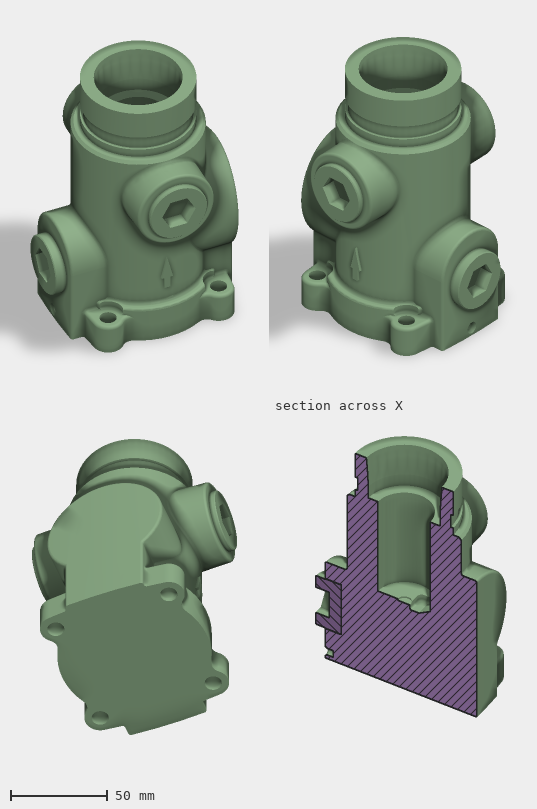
import cadquery as cq
import math

BODY_RADIUS = 35.0
BODY_TOP = 114.5
BODY_CHAMFER = 1.5
TOTAL_HEIGHT = 142.96
TOTAL_WIDTH = 101.75
TOTAL_DEPTH = 98.58

NECK_RADIUS = 30.15
GROOVE_RADIUS = 28.6
GROOVE_WIDTH = 7.95
LIP_HEIGHT = 15.88

BORE_RADIUS = 23.0
BORE_INNER_RADIUS = 21.8
BORE_TAPER_DEPTH = 18.6
SEAT_Z = 117.0
SEAT_HOLE_RADIUS = 15.9
CHAMBER_FLOOR_Z = 58.0
DIMPLE_RADIUS = 3.9
DIMPLE_DEPTH = 1.0
LEDGE_Y = 10.5
LEDGE_HEIGHT = 1.0
SLOT_WIDTH = 19.4
SLOT_FRONT_Y = 3.5
SLOT_SLOPE_Y = 9.0
SLOT_DEPTH = 4.0
SLOT_CORNER_RADIUS = 2.5
SLOT_FLOOR_ROUND = 1.2

SIDE_AXIS_Z = 90.0
SIDE_END_X = 47.8
SIDE_END_RADIUS = 21.6
SIDE_ROOT_RADIUS = 22.2
SIDE_ROOT_X = 25.0

PLUG_RADIUS = 16.2
PLUG_CHAMFER = 0.5
HEX_FLATS = 16.5
HEX_DEPTH = 8.0
SIDE_PLUG_END_X = TOTAL_WIDTH / 2

PAD_HALF_WIDTH = 21.6
PAD_BOW_RADIUS = 310.0
FRONT_Y = -48.5
FRONT_ARCH_Z = 42.2
BACK_Y = 44.5
BACK_DISC_RADIUS = 32.0
BACK_DISC_Z = 58.0
EDGE_ROUND = 1.4
CORNER_BLEND = 2.0
ROOT_FILLET = 1.3

FRONT_PLUG_Z = 36.0
FRONT_PLUG_END_Y = BACK_Y - TOTAL_DEPTH
FRONT_PLUG_THREAD_DEPTH = 10.0

WEEP_Z = 4.7
WEEP_RADIUS = 2.0
WEEP_MOUTH_RADIUS = 3.3
WEEP_DEPTH = 5.0

RING_RADIUS = 39.95
RING_TOP = 20.8
RING_ROUND = 1.5
LUG_OFFSET = 31.4
LUG_RADIUS = 8.2
LUG_HEIGHT = 16.6
LUG_ROUND = 1.8
LUG_HOLE_RADIUS = 4.45
LUG_OUTER_EDGE_ANGLE = 84.0
LUG_INNER_EDGE_ANGLE = -45.0
LUG_INNER_EDGE_LENGTH = 10.0
LUG_BLEND = 5.5
LUG_PAD_FILLET = 1.5
SPOTFACE_ROUND = 1.2

ARROW_FACE_X = 36.6
ARROW_EMBED = 1.0
ARROW_TIP_Z = 49.6
ARROW_HEAD_Z = 36.7
ARROW_TAIL_Z = 30.2
ARROW_HEAD_HALF_WIDTH = 3.2
ARROW_STEM_HALF_WIDTH = 1.6

TOLERANCE = 0.01


def cylinder(radius, z_low, z_high):
    return cq.Workplane("XY").workplane(offset=z_low).circle(radius).extrude(z_high - z_low)


def mirrored_pair(shape):
    """The shape together with its mirror image across the YZ plane."""
    return [shape, shape.mirror("YZ")]


def side_boss():
    """Slightly tapered round boss along +X with a rounded end."""
    profile = [
        (0, 0),
        (0, SIDE_ROOT_RADIUS),
        (SIDE_ROOT_X, SIDE_ROOT_RADIUS),
        (SIDE_END_X, SIDE_END_RADIUS),
        (SIDE_END_X, 0),
    ]
    boss = cq.Workplane("XZ").polyline(profile).close().revolve(360, (0, 0), (1, 0))
    return boss.faces(">X").edges().fillet(EDGE_ROUND).translate((0, 0, SIDE_AXIS_Z))


def side_plug_head():
    """Plain round plug head standing out of the +X boss."""
    start_x = SIDE_END_X - EDGE_ROUND
    head = cq.Workplane("YZ", origin=(start_x, 0, SIDE_AXIS_Z)).circle(PLUG_RADIUS)
    return head.extrude(SIDE_PLUG_END_X - start_x).faces(">X").chamfer(PLUG_CHAMFER)


def hex_socket(workplane):
    """Hexagonal prism, corners pointing sideways, sunk HEX_DEPTH from its workplane."""
    corner_diameter = HEX_FLATS / math.cos(math.pi / 6)
    return workplane.polygon(6, corner_diameter).extrude(-HEX_DEPTH)


def bowed_pad(pad, face_y):
    """Give a pad a bowed end face at face_y and round its rim."""
    direction = math.copysign(1, face_y)
    bow_centre_y = face_y - direction * PAD_BOW_RADIUS
    bow = cylinder(PAD_BOW_RADIUS, 0, TOTAL_HEIGHT).translate((0, bow_centre_y, 0))
    pad = pad.intersect(bow)
    face_selector = ">Y" if direction > 0 else "<Y"
    return pad.faces(face_selector).edges("not(<Z)").fillet(EDGE_ROUND)


def front_pad():
    outline = (
        cq.Workplane("XZ")
        .moveTo(-PAD_HALF_WIDTH, 0)
        .lineTo(-PAD_HALF_WIDTH, FRONT_ARCH_Z)
        .threePointArc((0, FRONT_ARCH_Z + PAD_HALF_WIDTH), (PAD_HALF_WIDTH, FRONT_ARCH_Z))
        .lineTo(PAD_HALF_WIDTH, 0)
        .close()
    )
    return bowed_pad(outline.extrude(-FRONT_Y), FRONT_Y)


def back_pad():
    neck_z = BACK_DISC_Z - math.sqrt(BACK_DISC_RADIUS**2 - PAD_HALF_WIDTH**2)
    outline = (
        cq.Workplane("XZ")
        .moveTo(-PAD_HALF_WIDTH, 0)
        .lineTo(-PAD_HALF_WIDTH, neck_z)
        .threePointArc((0, BACK_DISC_Z + BACK_DISC_RADIUS), (PAD_HALF_WIDTH, neck_z))
        .lineTo(PAD_HALF_WIDTH, 0)
        .close()
    )
    pad = outline.extrude(-BACK_Y)
    pad = pad.edges("|Y").edges("not(<Z)").fillet(CORNER_BLEND)
    return bowed_pad(pad, BACK_Y)


def is_root_edge(edge):
    """True for an edge where a boss or pad meets the side of the barrel."""
    points = [edge.positionAt(fraction) for fraction in (0.1, 0.5, 0.9)]
    on_barrel = all(abs(math.hypot(p.x, p.y) - BODY_RADIUS) < TOLERANCE for p in points)
    return on_barrel and edge.BoundingBox().zlen > ROOT_FILLET


def barrel_with_bosses():
    barrel = cylinder(BODY_RADIUS, 0, BODY_TOP).faces(">Z").chamfer(BODY_CHAMFER)
    for boss in mirrored_pair(side_boss()):
        barrel = barrel.union(boss)
    barrel = barrel.union(front_pad()).union(back_pad())
    roots = [edge for edge in barrel.edges().vals() if is_root_edge(edge)]
    return barrel.newObject(roots).fillet(ROOT_FILLET)


def base_ring():
    """Bottom ring with a rounded rim and a concave sweep up to the barrel."""
    rim_radius = RING_RADIUS - RING_ROUND
    sweep_radius = BODY_RADIUS + RING_ROUND
    diagonal = RING_ROUND * math.sqrt(0.5)
    profile = (
        cq.Workplane("XZ")
        .lineTo(RING_RADIUS, 0)
        .lineTo(RING_RADIUS, RING_TOP - RING_ROUND)
        .threePointArc((rim_radius + diagonal, RING_TOP - RING_ROUND + diagonal), (rim_radius, RING_TOP))
        .lineTo(sweep_radius, RING_TOP)
        .threePointArc(
            (sweep_radius - diagonal, RING_TOP + RING_ROUND - diagonal),
            (BODY_RADIUS, RING_TOP + RING_ROUND),
        )
        .lineTo(0, RING_TOP + RING_ROUND)
        .close()
    )
    return profile.revolve(360, (0, 0), (0, 1))


def lug_rim_point(angle):
    """Point on the lug's round end in the +X +Y corner."""
    turn = math.radians(angle)
    return (LUG_OFFSET + LUG_RADIUS * math.cos(turn), LUG_OFFSET + LUG_RADIUS * math.sin(turn))


def inner_blend_point(start, turn):
    """Where the lug's inner edge, running from start, meets the base ring."""
    along = (math.sin(turn), -math.cos(turn))
    outward = start[0] * along[0] + start[1] * along[1]
    excess = start[0] ** 2 + start[1] ** 2 - RING_RADIUS**2
    distance = -outward - math.sqrt(outward**2 - excess)
    return (start[0] + distance * along[0], start[1] + distance * along[1])


def lug():
    """Bolt lug in the +X +Y corner, blended into a disc the size of the base ring."""
    outer = lug_rim_point(LUG_OUTER_EDGE_ANGLE)
    middle = lug_rim_point((LUG_OUTER_EDGE_ANGLE + LUG_INNER_EDGE_ANGLE) / 2)
    inner = lug_rim_point(LUG_INNER_EDGE_ANGLE)
    pad_x = PAD_HALF_WIDTH - 2 * LUG_ROUND
    outer_slope = 1 / math.tan(math.radians(LUG_OUTER_EDGE_ANGLE))
    pad_y = outer[1] + (outer[0] - pad_x) * outer_slope
    turn = math.radians(LUG_INNER_EDGE_ANGLE)
    root_x = inner[0] + LUG_INNER_EDGE_LENGTH * math.sin(turn)
    root_y = inner[1] - LUG_INNER_EDGE_LENGTH * math.cos(turn)
    ear = (
        cq.Workplane("XY")
        .moveTo(pad_x, pad_y)
        .lineTo(*outer)
        .threePointArc(middle, inner)
        .lineTo(root_x, root_y)
        .lineTo(pad_x, root_y)
        .close()
        .extrude(LUG_HEIGHT)
    )
    blended = cylinder(RING_RADIUS, 0, LUG_HEIGHT).union(ear)
    near_blend = cq.selectors.NearestToPointSelector((*inner_blend_point(inner, turn), LUG_HEIGHT / 2))
    blended = blended.edges("|Z").edges(near_blend).fillet(LUG_BLEND)
    return blended.faces(">Z").edges().fillet(LUG_ROUND)


def is_lug_pad_edge(edge):
    """True for an edge where a lug meets the flat side of a pad, outside the base ring."""
    box = edge.BoundingBox()
    middle = edge.Center()
    on_pad_side = box.xlen < TOLERANCE and abs(abs(middle.x) - PAD_HALF_WIDTH) < TOLERANCE
    beside_lug = LUG_OFFSET < abs(middle.y) < LUG_OFFSET + LUG_RADIUS + LUG_ROUND
    return on_pad_side and beside_lug and 0 < middle.z < LUG_HEIGHT + TOLERANCE


def neck():
    groove_top = TOTAL_HEIGHT - LIP_HEIGHT
    groove_bottom = groove_top - GROOVE_WIDTH
    shape = cylinder(NECK_RADIUS, BODY_TOP, groove_bottom)
    shape = shape.union(cylinder(GROOVE_RADIUS, groove_bottom, groove_top))
    return shape.union(cylinder(NECK_RADIUS, groove_top, TOTAL_HEIGHT))


def passage():
    """Tapered bore, seat hole and the chamber below it with a ledge along its back."""
    taper_z = TOTAL_HEIGHT - BORE_TAPER_DEPTH
    profile = [
        (0, CHAMBER_FLOOR_Z),
        (SEAT_HOLE_RADIUS, CHAMBER_FLOOR_Z),
        (SEAT_HOLE_RADIUS, SEAT_Z),
        (BORE_INNER_RADIUS, SEAT_Z),
        (BORE_INNER_RADIUS, taper_z),
        (BORE_RADIUS, TOTAL_HEIGHT),
        (0, TOTAL_HEIGHT),
    ]
    space = cq.Workplane("XZ").polyline(profile).close().revolve(360, (0, 0), (0, 1))
    ledge = cq.Workplane("XY").box(
        2 * SEAT_HOLE_RADIUS, SEAT_HOLE_RADIUS, LEDGE_HEIGHT, centered=(True, False, False)
    )
    space = space.cut(ledge.translate((0, LEDGE_Y, CHAMBER_FLOOR_Z)))
    dimple = cylinder(DIMPLE_RADIUS, CHAMBER_FLOOR_Z - DIMPLE_DEPTH, CHAMBER_FLOOR_Z)
    return space.union(dimple).union(floor_slot())


def floor_slot():
    """Slot in the chamber floor: flat at the front, rising in a slope to the back."""
    slot_floor_z = CHAMBER_FLOOR_Z - SLOT_DEPTH
    slot_top_z = CHAMBER_FLOOR_Z + LEDGE_HEIGHT
    profile = [
        (SLOT_FRONT_Y, slot_floor_z),
        (SLOT_SLOPE_Y, slot_floor_z),
        (SEAT_HOLE_RADIUS, CHAMBER_FLOOR_Z),
        (SEAT_HOLE_RADIUS, slot_top_z),
        (SLOT_FRONT_Y, slot_top_z),
    ]
    slot = cq.Workplane("YZ").polyline(profile).close().extrude(SLOT_WIDTH / 2, both=True)
    slot = slot.edges("|Z and <Y").fillet(SLOT_CORNER_RADIUS)
    slot = slot.faces("<Z").edges("not(>Y)").fillet(SLOT_FLOOR_ROUND)
    return slot.intersect(cylinder(SEAT_HOLE_RADIUS, slot_floor_z, slot_top_z))


def arrow():
    """Raised flow arrow on the +X side, pointing up."""
    half = [
        (ARROW_STEM_HALF_WIDTH, ARROW_TAIL_Z),
        (ARROW_STEM_HALF_WIDTH, ARROW_HEAD_Z),
        (ARROW_HEAD_HALF_WIDTH, ARROW_HEAD_Z),
    ]
    other_half = [(-y, z) for y, z in reversed(half)]
    outline = half + [(0, ARROW_TIP_Z)] + other_half
    root_x = BODY_RADIUS - ARROW_EMBED
    return cq.Workplane("YZ", origin=(root_x, 0, 0)).polyline(outline).close().extrude(ARROW_FACE_X - root_x)


def weep_hole():
    hole = cq.Workplane("XZ", origin=(0, FRONT_Y, WEEP_Z)).circle(WEEP_RADIUS).extrude(-WEEP_DEPTH)
    mouth_depth = WEEP_MOUTH_RADIUS - WEEP_RADIUS
    mouth = cq.Solid.makeCone(
        WEEP_MOUTH_RADIUS, WEEP_RADIUS, mouth_depth, cq.Vector(0, FRONT_Y, WEEP_Z), cq.Vector(0, 1, 0)
    )
    return hole.union(cq.Workplane(mouth))


def front_plug_blank():
    """Plain front plug, from its inner end in the pad to its outer face."""
    inner_y = FRONT_Y + FRONT_PLUG_THREAD_DEPTH
    blank = cq.Workplane("XZ", origin=(0, inner_y, FRONT_PLUG_Z)).circle(PLUG_RADIUS)
    return blank.extrude(inner_y - FRONT_PLUG_END_Y)


def spotfaced_bolt_hole():
    """Bolt hole with a round-bottomed spotface that bites into the base ring."""
    spotface = cylinder(LUG_RADIUS, LUG_HEIGHT, RING_TOP + RING_ROUND)
    spotface = spotface.faces("<Z").edges().fillet(SPOTFACE_ROUND)
    return spotface.union(cylinder(LUG_HOLE_RADIUS, 0, LUG_HEIGHT))


def build_housing():
    shape = barrel_with_bosses().union(base_ring())
    corner_lug = lug()
    for right_lug in (corner_lug, corner_lug.mirror("XZ")):
        for one_lug in mirrored_pair(right_lug):
            shape = shape.union(one_lug)
    shape = shape.union(neck())
    for head in mirrored_pair(side_plug_head()):
        shape = shape.union(head)
    for raised_arrow in mirrored_pair(arrow()):
        shape = shape.union(raised_arrow)

    socket = hex_socket(cq.Workplane("YZ", origin=(SIDE_PLUG_END_X, 0, SIDE_AXIS_Z)))
    for side_socket in mirrored_pair(socket):
        shape = shape.cut(side_socket)
    bolt_cutter = spotfaced_bolt_hole()
    for x in (-LUG_OFFSET, LUG_OFFSET):
        for y in (-LUG_OFFSET, LUG_OFFSET):
            shape = shape.cut(bolt_cutter.translate((x, y, 0)))
    pad_joints = [edge for edge in shape.edges().vals() if is_lug_pad_edge(edge)]
    shape = shape.newObject(pad_joints).fillet(LUG_PAD_FILLET)
    return shape.cut(passage()).cut(weep_hole()).cut(front_plug_blank())


def build_front_plug():
    plug = front_plug_blank().faces("<Y").chamfer(PLUG_CHAMFER)
    socket = hex_socket(cq.Workplane("XZ", origin=(0, FRONT_PLUG_END_Y, FRONT_PLUG_Z)))
    return plug.cut(socket)


housing = build_housing()
front_plug = build_front_plug()

result = cq.Compound.makeCompound([housing.solids().val(), front_plug.solids().val()])